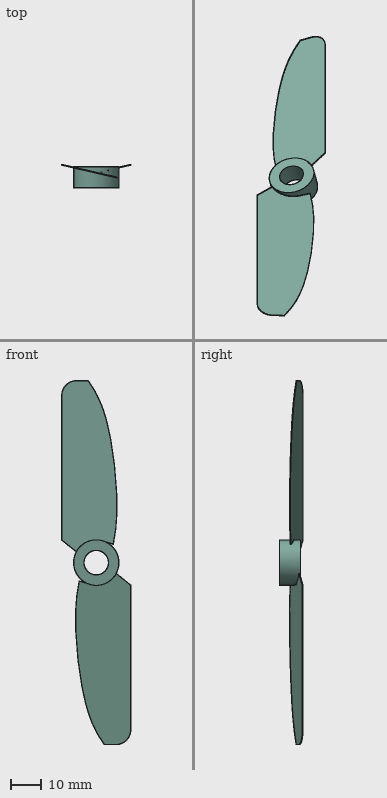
import cadquery as cq

hub_diameter = 15.0
bore_diameter = 8.0
hub_length = 7.0

blade_count = 2
tip_radius = 60.0
blade_thickness = 0.3
blade_pitch = 13.0
blade_depth = 1.995

straight_edge = -11.69
straight_edge_root = 7.45
tip_corner_radius = 5.0
tip_flat_end = -2.75
curved_edge_points = [(1.75, 52.0), (5.0, 40.0), (6.9, 23.0), (6.6, 11.0)]
curved_edge_root = (5.75, 6.05)

root_on_curved_side = (1.2, 7.39)
root_on_straight_side = (-5.1, 2.3)


def make_hub():
    return cq.Workplane("XZ").circle(hub_diameter / 2).extrude(hub_length)


def make_blade():
    corner_centre = (straight_edge + tip_corner_radius, tip_radius - tip_corner_radius)
    corner_diagonal = tip_corner_radius / 2**0.5
    corner_middle = (corner_centre[0] - corner_diagonal, corner_centre[1] + corner_diagonal)
    plate = (
        cq.Workplane("XZ")
        .moveTo(*root_on_straight_side)
        .lineTo(straight_edge, straight_edge_root)
        .lineTo(straight_edge, corner_centre[1])
        .threePointArc(corner_middle, (corner_centre[0], tip_radius))
        .lineTo(tip_flat_end, tip_radius)
        .spline(curved_edge_points + [curved_edge_root], includeCurrent=True)
        .lineTo(*root_on_curved_side)
        .close()
        .extrude(blade_thickness / 2, both=True)
    )
    pitched = plate.rotate((0, 0, 0), (0, 0, 1), -blade_pitch)
    return pitched.translate((0, -blade_depth, 0))


def make_propeller():
    propeller = make_hub()
    blade = make_blade()
    for index in range(blade_count):
        angle = index * 360 / blade_count
        propeller = propeller.union(blade.rotate((0, 0, 0), (0, 1, 0), angle))
    bore = cq.Workplane("XZ").circle(bore_diameter / 2).extrude(hub_length)
    return propeller.cut(bore)


result = make_propeller()